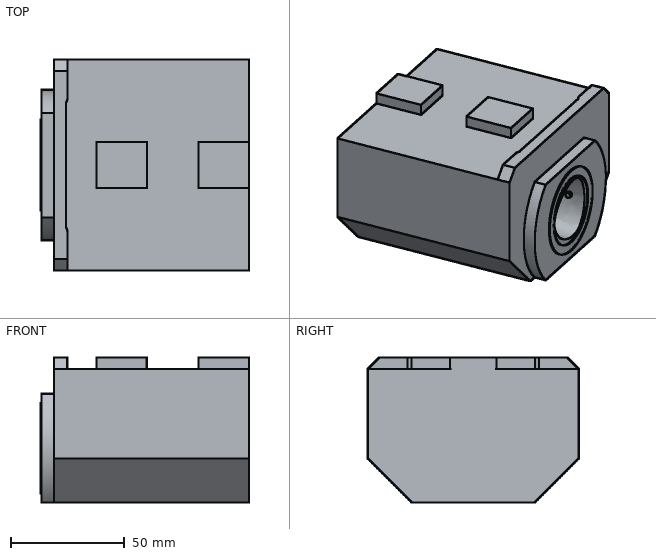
import cadquery as cq
import math

body_length = 86.0
body_width = 93.0
total_height = 64.0
axis_height = 24.0
top_step = 5.0
bottom_chamfer = 19.5
overlap = 0.9

plate_thickness = 5.95
plate_relief = 0.65
relief_half_width = 27.2
relief_outer_half_width = 28.9

pad_length = 22.3
pad_width = 20.3
first_pad_start = 18.7

flange_thickness = 5.5
flange_diameter = 66.5
ring_height = 0.5
ring_outer_diameter = 40.0
ring_inner_diameter = 31.6

socket_radius = 13.95
lobe_height = 0.8
socket_depth = 29.8
socket_wall_inset = 0.6
lobe_points = 36

pin_diameter = 2.5
pin_tip_offset = 11.6
pin_root_offset = 14.9
pin_depth = 7.4

bottom_z = -axis_height
top_z = bottom_z + total_height
body_top_z = top_z - top_step
half_width = body_width / 2
flange_face_x = -flange_thickness


def disc(start_x, diameter, length):
    """Cylinder along +X on the bore axis."""
    return cq.Workplane("YZ", origin=(start_x, 0, 0)).circle(diameter / 2).extrude(length)


def make_body():
    block_height = body_top_z - bottom_z
    block = cq.Workplane("XY", origin=(body_length / 2, 0, bottom_z)).box(
        body_length, body_width, block_height, centered=(True, True, False)
    )
    return block.faces("<Z").edges("|X").chamfer(bottom_chamfer)


def make_plate_top():
    """Chamfered top strip of the front plate, with a shallow relief in its rear face."""
    relief_x = plate_thickness - plate_relief
    strip = (
        cq.Workplane("XY", origin=(0, 0, body_top_z))
        .moveTo(0, -half_width)
        .lineTo(plate_thickness, -half_width)
        .lineTo(plate_thickness, -relief_outer_half_width)
        .lineTo(relief_x, -relief_half_width)
        .lineTo(relief_x, relief_half_width)
        .lineTo(plate_thickness, relief_outer_half_width)
        .lineTo(plate_thickness, half_width)
        .lineTo(0, half_width)
        .close()
        .extrude(top_step)
    )
    outline = (
        cq.Workplane("YZ")
        .polyline([
            (-half_width, body_top_z),
            (half_width, body_top_z),
            (half_width - top_step, top_z),
            (-half_width + top_step, top_z),
        ])
        .close()
        .extrude(plate_thickness)
    )
    return strip.intersect(outline)


def make_pad(start_x):
    base = (start_x + pad_length / 2, 0, body_top_z - overlap)
    return cq.Workplane("XY", origin=base).box(
        pad_length, pad_width, top_step + overlap, centered=(True, True, False)
    )


def make_flange():
    """Round flange cut flat above and below, carrying the raised contact ring."""
    flange = disc(flange_face_x, flange_diameter, flange_thickness + overlap)
    flats = cq.Workplane("XY").box(body_length, body_width, 2 * axis_height)
    ring = disc(flange_face_x - ring_height, ring_outer_diameter, ring_height)
    ring = ring.cut(disc(flange_face_x - ring_height, ring_inner_diameter, ring_height))
    return flange.intersect(flats).union(ring)


def lobe_outline(radius):
    """Constant-width curve with lobes at +Y and at 120 degrees to either side."""
    points = []
    for i in range(lobe_points):
        angle = 2 * math.pi * i / lobe_points
        reach = radius + lobe_height * math.cos(3 * angle)
        slope = -3 * lobe_height * math.sin(3 * angle)
        y = reach * math.cos(angle) - slope * math.sin(angle)
        z = reach * math.sin(angle) + slope * math.cos(angle)
        points.append((y, z))
    return points


def make_socket():
    return (
        cq.Workplane("YZ", origin=(flange_face_x, 0, 0))
        .spline(lobe_outline(socket_radius), periodic=True)
        .wire()
        .workplane(offset=socket_depth)
        .spline(lobe_outline(socket_radius - socket_wall_inset), periodic=True)
        .wire()
        .loft()
    )


def make_pin():
    tip = (flange_face_x + pin_depth, -pin_tip_offset, 0)
    length = pin_root_offset - pin_tip_offset
    return cq.Workplane("XZ", origin=tip).circle(pin_diameter / 2).extrude(length)


result = make_body().union(make_plate_top()).union(make_flange())
for pad_start in (first_pad_start, body_length - pad_length):
    result = result.union(make_pad(pad_start))
result = result.cut(make_socket()).union(make_pin())